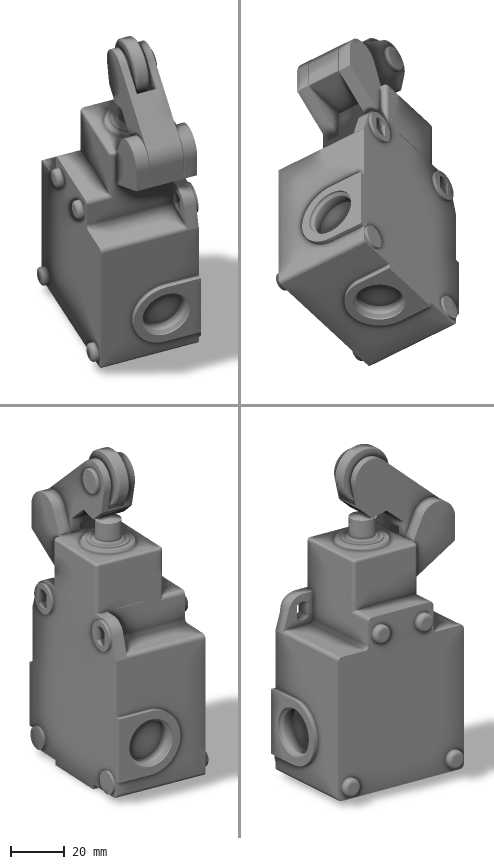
import cadquery as cq
import math


overall_height = 129.8

body_width = 58.0
body_half_width = body_width / 2
body_depth = 39.3
body_bottom = 2.1
shoulder_z = 59.6
deck_z = 72.2
edge_round = 1.5

head_size = 29.9
head_half = head_size / 2
head_center_y = -head_half
seam_z = 77.0
head_top = 92.2
head_top_round = 1.0
tab_width = 13.0
tab_height = 4.4
tab_bottom = seam_z - tab_height
tab_clearance = 0.4

ear_thickness = 4.8
ear_tip_half_width = 24.8
ear_root_z = 58.4
ear_round = 6.5
slot_x = 20.0
slot_z = 65.4
slot_width = 5.2
slot_height = 7.4
pad_height = 1.2
upper_pad_radius = 6.0
lower_pad_radius = 4.5

lower_screw_x = 24.0
lower_screw_z = 7.1
upper_screw_x = 10.0
upper_screw_z = 65.2
screw_radius = 3.6
screw_height = 2.9
screw_round = 1.4

boss_radius = 13.0
boss_center_y = -14.0
boss_center_z = 22.3
width_over_bosses = 62.0
side_boss_height = (width_over_bosses - body_width) / 2
entry_mouth_radius = 9.6
entry_bore_radius = 8.6
entry_chamfer = entry_mouth_radius - entry_bore_radius
entry_mouth_depth = 0.8
entry_depth = 5.8

collar_base_radius = 10.6
collar_top_radius = 10.0
collar_height = 1.2
disc_radius = 7.9
disc_height = 0.45
cone_base_radius = 6.5
cone_top_radius = 5.7
cone_height = 0.8
plunger_diameter = 10.0
plunger_radius = plunger_diameter / 2
plunger_shoulder_z = 101.9
plunger_tip_z = 103.0

arm_end_width = 16.0
arm_radius = arm_end_width / 2
lever_end_x = 34.0
pivot_x = lever_end_x - arm_radius
pivot_z = 97.5
roller_x = 0.0
roller_z = 118.9
roller_radius = overall_height - roller_z
arm_angle = math.atan2(roller_z - pivot_z, pivot_x - roller_x)
arm_width = 13.5
lug_gap = 14.0
lug_span = 24.4
lug_flank_angle = math.radians(25)
lug_bottom_outer_z = 88.1
lug_top_inner_z = 92.5
fork_gap = 7.8
fork_pocket_height = 24.0
fork_clearance_radius = fork_pocket_height / 2
heel_angle = math.radians(12.5)
heel_point = (-5.7, 107.9)
nose_point = (-0.3, 103.2)
notch_point = (6.5, 104.7)
arm_root_z = 97.7
foot_bottom_z = lug_bottom_outer_z
foot_pocket_width = 6.0
foot_pocket_bottom_z = 89.0
foot_pocket_top_z = 95.1
foot_pocket_depth = 6.5
roller_width = 5.0
roller_chamfer = 0.5
hub_radius = 5.8
hub_width = 6.6
pin_radius = 3.4
rivet_diameter = 10.0
rivet_radius = rivet_diameter / 2
rivet_height = 1.5
rivet_chamfer = 0.4


def front_plane(y):
    """Sketch plane facing -Y, with local x along X and local y along Z."""
    return cq.Workplane("XZ", origin=(0, y, 0))


def centered_plate(outline_on, width):
    """Extrude an outline in the XZ plane, centred on the head in Y."""
    return outline_on(front_plane(head_center_y + width / 2)).extrude(width)


def mirrored_pair(x, z):
    """The same point on both sides of the middle plane."""
    return [(-x, z), (x, z)]


def point_on_circle(center_x, center_z, radius, angle):
    return (center_x + radius * math.cos(angle), center_z + radius * math.sin(angle))


def make_shell():
    """Stepped housing outline, with every corner rounded."""
    outline = [
        (-body_half_width, body_bottom),
        (body_half_width, body_bottom),
        (body_half_width, shoulder_z),
        (head_half, shoulder_z),
        (head_half, deck_z),
        (-head_half, deck_z),
        (-head_half, shoulder_z),
        (-body_half_width, shoulder_z),
    ]
    shell = front_plane(0).polyline(outline).close().extrude(body_depth)
    return shell.edges("|Y").fillet(edge_round)


def rounded_block(bottom, top):
    """Square block on the head's footprint with rounded upright edges."""
    block = cq.Workplane("XY", origin=(0, head_center_y, bottom)).rect(head_size, head_size)
    return block.extrude(top - bottom).edges("|Z").fillet(edge_round)


def cross_tab(bottom, top):
    """Cross of two bars that spans the head's footprint both ways."""
    plane = cq.Workplane("XY", origin=(0, head_center_y, bottom))
    height = top - bottom
    return plane.rect(head_size, tab_width).extrude(height).union(
        plane.rect(tab_width, head_size).extrude(height)
    )


def make_neck():
    neck = rounded_block(shoulder_z, seam_z)
    return neck.cut(cross_tab(tab_bottom - tab_clearance, seam_z))


def make_mounting_plate():
    outline = [
        (-body_half_width, ear_root_z),
        (body_half_width, ear_root_z),
        (ear_tip_half_width, deck_z),
        (-ear_tip_half_width, deck_z),
    ]
    plate = front_plane(0).polyline(outline).close().extrude(ear_thickness)
    return plate.edges("|Y").edges(">Z").fillet(ear_round)


def make_back_pads():
    upper = mirrored_pair(slot_x, slot_z)
    lower = mirrored_pair(lower_screw_x, lower_screw_z)
    pads = front_plane(0).pushPoints(upper).circle(upper_pad_radius).extrude(-pad_height)
    return pads.union(front_plane(0).pushPoints(lower).circle(lower_pad_radius).extrude(-pad_height))


def make_mounting_slots():
    """Through slots with straight sides and ends rounded about the slot centre."""
    plane = front_plane(pad_height).pushPoints(mirrored_pair(slot_x, slot_z))
    length = pad_height + ear_thickness
    round_holes = plane.circle(slot_height / 2).extrude(length)
    return round_holes.intersect(plane.rect(slot_width, slot_height).extrude(length))


def make_screw_heads():
    centers = mirrored_pair(lower_screw_x, lower_screw_z) + mirrored_pair(upper_screw_x, upper_screw_z)
    heads = front_plane(-body_depth).pushPoints(centers).circle(screw_radius).extrude(screw_height)
    return heads.faces("<Y").edges().fillet(screw_round)


def entry_boss(plane, height):
    """Raised pad, straight to the housing's back face and round at the front."""
    pad = plane.circle(boss_radius).extrude(height)
    tail_length = -boss_center_y
    tail = plane.center(tail_length / 2, 0).rect(tail_length, 2 * boss_radius).extrude(height)
    return pad.union(tail)


def entry_bore(plane, height):
    """Blind entry hole sunk from the boss face: wide mouth, cone, then the bore."""
    mouth = plane.workplane(offset=height)
    bore = mouth.circle(entry_bore_radius).extrude(-entry_depth)
    rim = mouth.circle(entry_mouth_radius).extrude(-entry_mouth_depth)
    cone_start = mouth.workplane(offset=-entry_mouth_depth)
    cone = cone_start.circle(entry_mouth_radius).extrude(-entry_chamfer, taper=45)
    return bore.union(rim).union(cone)


def make_housing():
    housing = make_shell().union(make_neck()).union(make_mounting_plate()).union(make_back_pads())
    housing = housing.union(make_screw_heads()).cut(make_mounting_slots())
    entries = [
        ((-body_half_width, boss_center_y, boss_center_z), (-1, 0, 0), side_boss_height),
        ((body_half_width, boss_center_y, boss_center_z), (1, 0, 0), side_boss_height),
        ((0, boss_center_y, body_bottom), (0, 0, -1), body_bottom),
    ]
    for origin, outward, height in entries:
        plane = cq.Workplane(cq.Plane(origin=origin, xDir=(0, 1, 0), normal=outward))
        housing = housing.union(entry_boss(plane, height)).cut(entry_bore(plane, height))
    return housing


def make_plunger():
    """Stepped collar and domed plunger, turned about the head's upright axis."""
    collar_z = head_top + collar_height
    disc_z = collar_z + disc_height
    cone_z = disc_z + cone_height
    dome_height = plunger_tip_z - plunger_shoulder_z
    dome_radius = (plunger_radius**2 + dome_height**2) / (2 * dome_height)
    mid_radius = plunger_radius / 2
    mid_z = plunger_tip_z - dome_radius + math.sqrt(dome_radius**2 - mid_radius**2)
    profile = (
        cq.Workplane("XZ", origin=(0, head_center_y, 0))
        .moveTo(0, seam_z)
        .lineTo(collar_base_radius, seam_z)
        .lineTo(collar_base_radius, head_top)
        .lineTo(collar_top_radius, collar_z)
        .lineTo(disc_radius, collar_z)
        .lineTo(disc_radius, disc_z)
        .lineTo(cone_base_radius, disc_z)
        .lineTo(cone_top_radius, cone_z)
        .lineTo(plunger_radius, cone_z)
        .lineTo(plunger_radius, plunger_shoulder_z)
        .threePointArc((mid_radius, mid_z), (0, plunger_tip_z))
        .close()
    )
    return profile.revolve(360, (0, 0, 0), (0, 1, 0))


def lug_outline(plane):
    flank_tangent = point_on_circle(pivot_x, pivot_z, arm_radius, math.pi - lug_flank_angle)
    crown = (pivot_x, pivot_z + arm_radius)
    root_x = head_half - edge_round
    return (
        plane.moveTo(root_x, seam_z)
        .lineTo(head_half, seam_z)
        .lineTo(lever_end_x, lug_bottom_outer_z)
        .lineTo(lever_end_x, pivot_z)
        .threePointArc(point_on_circle(pivot_x, pivot_z, arm_radius, math.pi / 4), crown)
        .threePointArc(
            point_on_circle(pivot_x, pivot_z, arm_radius, (3 * math.pi / 2 - lug_flank_angle) / 2),
            flank_tangent,
        )
        .lineTo(head_half, lug_top_inner_z)
        .lineTo(head_half, head_top)
        .lineTo(root_x, head_top)
        .close()
    )


def make_hinge_lug(back_y):
    thickness = (lug_span - lug_gap) / 2
    return lug_outline(front_plane(back_y)).extrude(thickness)


def make_head():
    head = rounded_block(seam_z, head_top).faces(">Z").edges().fillet(head_top_round)
    tabs = cross_tab(tab_bottom, seam_z).intersect(rounded_block(tab_bottom, seam_z))
    head = head.union(tabs).union(make_plunger())
    for lug_back_y in (head_center_y + lug_span / 2, head_center_y - lug_gap / 2):
        head = head.union(make_hinge_lug(lug_back_y))
    return head


def lever_outline(plane):
    across_arm = math.pi / 2 - arm_angle
    crest_middle = (across_arm + math.pi + heel_angle) / 2
    return (
        plane.moveTo(head_half, arm_root_z)
        .lineTo(head_half, foot_bottom_z)
        .lineTo(lever_end_x, foot_bottom_z)
        .lineTo(lever_end_x, pivot_z)
        .threePointArc(
            point_on_circle(pivot_x, pivot_z, arm_radius, across_arm / 2),
            point_on_circle(pivot_x, pivot_z, arm_radius, across_arm),
        )
        .lineTo(*point_on_circle(roller_x, roller_z, arm_radius, across_arm))
        .threePointArc(
            point_on_circle(roller_x, roller_z, arm_radius, crest_middle),
            point_on_circle(roller_x, roller_z, arm_radius, math.pi + heel_angle),
        )
        .lineTo(*heel_point)
        .lineTo(*nose_point)
        .lineTo(*notch_point)
        .close()
    )


def fork_outline(plane):
    """Round-ended pocket about the roller, running out through the arm's upper side."""
    length = 2 * fork_pocket_height
    turned = plane.center(roller_x, roller_z).transformed(rotate=(0, 0, 90 - math.degrees(arm_angle)))
    return turned.center(length / 2 - fork_clearance_radius, 0).slot2D(length, fork_pocket_height)


def foot_pocket_outline(plane):
    """Recess sunk into the foot from the face that bears on the head."""
    height = foot_pocket_top_z - foot_pocket_bottom_z
    corner = plane.center(head_half, foot_pocket_bottom_z)
    return corner.rect(foot_pocket_depth, height, centered=False)


def roller_cylinder(radius, width):
    return centered_plate(lambda plane: plane.center(roller_x, roller_z).circle(radius), width)


def make_rivet():
    back_y = head_center_y + arm_width / 2
    rivet = front_plane(back_y).center(roller_x, roller_z).circle(rivet_radius).extrude(-rivet_height)
    return rivet.faces(">Y").edges().chamfer(rivet_chamfer)


def make_lever():
    lever = centered_plate(lever_outline, arm_width).cut(centered_plate(fork_outline, fork_gap))
    lever = lever.cut(centered_plate(foot_pocket_outline, foot_pocket_width))
    return lever.union(roller_cylinder(pin_radius, arm_width)).union(make_rivet())


def make_roller():
    wheel = roller_cylinder(roller_radius, roller_width)
    wheel = wheel.faces("<Y or >Y").edges().chamfer(roller_chamfer)
    wheel = wheel.union(roller_cylinder(hub_radius, hub_width))
    return wheel.cut(roller_cylinder(pin_radius, hub_width))


housing = make_housing()
head = make_head()
lever = make_lever()
roller = make_roller()

result = cq.Compound.makeCompound(
    [housing.solids().val(), head.solids().val(), lever.solids().val(), roller.solids().val()]
)